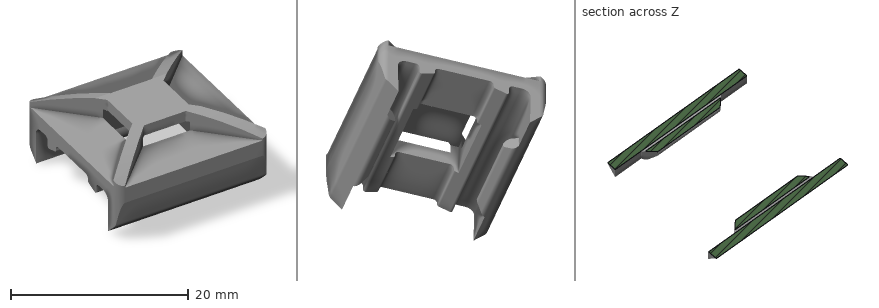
import cadquery as cq
import math

SIZE = 20.0
HALF = SIZE / 2
HEIGHT = 9.65
CORNER_RADIUS = 1.0

FLAT_HALF = 3.75
EDGE_HEIGHT = 7.35
ARCH_SAG = 0.28

DECK_Z = 7.08
PLATE_HALF = 3.7
PLATE_BOTTOM = 8.25
WINDOW_HALF = 4.05
RIB_OFFSET = 0.95

TAPER_Z = 5.0
FOOT_X = 9.38
FOOT_Z = 1.72
FOOT_DIFFERENCE = FOOT_X - FOOT_Z
FOOT_RADIUS = 0.8
LEG_INNER_X = 7.82
CAVITY_X = 7.92
CAVITY_TOP = 5.22
CAVITY_RADIUS = 1.05

RIDGE_OUTER_X = 5.32
RIDGE_INNER_X = 3.5
RIDGE_OUTER_Z = 3.75
RIDGE_INNER_Z = 4.32
RIDGE_ROOT_RADIUS = 0.52
RIDGE_TIP_RADIUS = 0.25

HOOK_TIP_X = 7.0
HOOK_TIP_Z = 1.15
HOOK_TIP_RADIUS = 0.6
HOOK_TOP_SLOPE = math.radians(30)
HOOK_BOTTOM_RADIUS = 0.45
HOOK_OVERLAP = 0.6
HOOK_HALF_LENGTH = 6.05

EPS = 0.002


def prism(points, half_length):
    """Extrude an XZ outline symmetrically along Y."""
    return cq.Workplane("XZ").polyline(points).close().extrude(half_length, both=True)


def round_edges(body, x, z, radius):
    """Fillet the edges along Y at (x, z) and (-x, z), wherever present."""
    for side in (-1, 1):
        low = (side * x - EPS, -SIZE, z - EPS)
        high = (side * x + EPS, SIZE, z + EPS)
        edges = body.edges("|Y").edges(cq.selectors.BoxSelector(low, high))
        if edges.size():
            body = edges.fillet(radius)
    return body


def mirrored(points):
    """Complete a right-hand outline with its reflection in X = 0."""
    return points + [(-x, z) for x, z in reversed(points)]


def domed_block():
    mid_x = (FLAT_HALF + HALF) / 2
    mid_z = (HEIGHT + EDGE_HEIGHT) / 2 + ARCH_SAG
    block = (
        cq.Workplane("XZ")
        .moveTo(-HALF, 0)
        .lineTo(HALF, 0)
        .lineTo(HALF, EDGE_HEIGHT)
        .threePointArc((mid_x, mid_z), (FLAT_HALF, HEIGHT))
        .lineTo(-FLAT_HALF, HEIGHT)
        .threePointArc((-mid_x, mid_z), (-HALF, EDGE_HEIGHT))
        .close()
        .extrude(HALF, both=True)
    )
    return block.edges("|Z").fillet(CORNER_RADIUS)


def channel_profile():
    """Full-length channel section: legs, cavity roof and stop ridges."""
    leg_bottom = LEG_INNER_X - FOOT_DIFFERENCE
    outline = mirrored([
        (RIDGE_INNER_X, CAVITY_TOP),
        (RIDGE_INNER_X, RIDGE_INNER_Z),
        (RIDGE_OUTER_X, RIDGE_OUTER_Z),
        (RIDGE_OUTER_X, CAVITY_TOP),
        (CAVITY_X, CAVITY_TOP),
        (LEG_INNER_X, leg_bottom),
        (FOOT_X, FOOT_Z),
        (HALF, TAPER_Z),
        (HALF, HEIGHT),
    ])
    body = prism(outline, HALF)
    body = round_edges(body, FOOT_X, FOOT_Z, FOOT_RADIUS)
    body = round_edges(body, CAVITY_X, CAVITY_TOP, CAVITY_RADIUS)
    for x, tip_z in ((RIDGE_INNER_X, RIDGE_INNER_Z), (RIDGE_OUTER_X, RIDGE_OUTER_Z)):
        body = round_edges(body, x, CAVITY_TOP, RIDGE_ROOT_RADIUS)
        body = round_edges(body, x, tip_z, RIDGE_TIP_RADIUS)
    return body


def deck_recess(angle):
    """Space above the deck between two diagonal ribs, on the +X side before turning."""
    inner_y = PLATE_HALF - RIB_OFFSET
    outer_y = SIZE - RIB_OFFSET
    return (
        cq.Workplane("XY", origin=(0, 0, DECK_Z))
        .polyline([(PLATE_HALF, -inner_y), (SIZE, -outer_y), (SIZE, outer_y), (PLATE_HALF, inner_y)])
        .close()
        .extrude(HEIGHT)
        .rotate((0, 0, 0), (0, 0, 1), angle)
    )


def centre_opening():
    """Square opening through the deck, closed above by the centre plate."""
    return cq.Workplane("XY").rect(2 * WINDOW_HALF, 2 * WINDOW_HALF).extrude(PLATE_BOTTOM)


def hook():
    """Hook on the +X leg: round tip, 45 degree underside and bevelled ends."""
    diagonal = HOOK_TIP_RADIUS * math.sqrt(0.5)
    tangent_x = HOOK_TIP_X - diagonal
    tangent_z = HOOK_TIP_Z - diagonal
    under_sum = tangent_x + tangent_z
    bottom_x = (under_sum + FOOT_DIFFERENCE) / 2
    bottom_z = (under_sum - FOOT_DIFFERENCE) / 2
    root_x = LEG_INNER_X + HOOK_OVERLAP
    crest_x = HOOK_TIP_X + HOOK_TIP_RADIUS * math.sin(HOOK_TOP_SLOPE)
    crest_z = HOOK_TIP_Z + HOOK_TIP_RADIUS * math.cos(HOOK_TOP_SLOPE)
    root_z = crest_z - (root_x - crest_x) * math.tan(HOOK_TOP_SLOPE)
    body = (
        cq.Workplane("XZ")
        .moveTo(bottom_x, bottom_z)
        .lineTo(tangent_x, tangent_z)
        .threePointArc(
            (HOOK_TIP_X - HOOK_TIP_RADIUS, HOOK_TIP_Z),
            (crest_x, crest_z),
        )
        .lineTo(root_x, root_z)
        .lineTo(root_x, root_x - FOOT_DIFFERENCE)
        .close()
        .extrude(HALF, both=True)
    )
    body = round_edges(body, bottom_x, bottom_z, HOOK_BOTTOM_RADIUS)
    reach = LEG_INNER_X - HOOK_TIP_X + HOOK_TIP_RADIUS
    root_y = HOOK_HALF_LENGTH
    tip_y = root_y - reach
    ends = (
        cq.Workplane("XY")
        .polyline([
            (root_x, -root_y),
            (LEG_INNER_X, -root_y),
            (LEG_INNER_X - reach, -tip_y),
            (LEG_INNER_X - reach, tip_y),
            (LEG_INNER_X, root_y),
            (root_x, root_y),
        ])
        .close()
        .extrude(HEIGHT, both=True)
    )
    return body.intersect(ends)


result = domed_block().intersect(channel_profile())
for angle in (0, 90, 180, 270):
    result = result.cut(deck_recess(angle))
result = result.cut(centre_opening())
right_hook = hook()
result = result.union(right_hook).union(right_hook.mirror("YZ"))